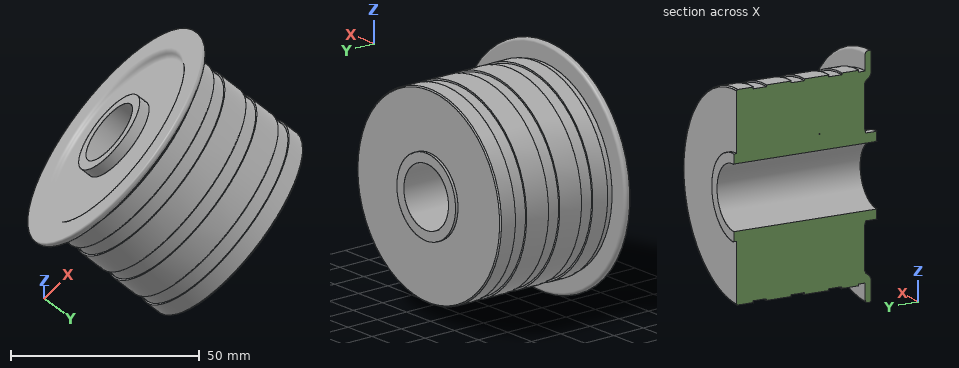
import cadquery as cq
import math

hub_length = 43.0
hub_radius = 12.25
bore_radius = 9.3

rim_back = 42.15
rim_radius = 29.95
rim_edge_chamfer = 0.35
groove_radius = 29.5
groove_width = 3.85
groove_starts = (10.6, 21.85, 33.2)
relief_end = 5.45

flange_radius = 35.0
flange_front = 1.7
flange_back = 3.6
front_edge_round = 0.55
back_edge_round = 0.9

web_front = 3.65
recess_outer_radius = 28.9
recess_middle_radius = 27.15
recess_inner_radius = 2 * recess_middle_radius - recess_outer_radius
collar_radius = 13.6
collar_height = 0.35


def blend_midpoint(start, end, radial_end):
    """Point halfway along an arc that leaves or reaches a radial tangent.

    With radial_end the arc is radial at its end, otherwise at its start.
    """
    run = end[0] - start[0]
    rise = end[1] - start[1]
    angle = 2 * math.atan(abs(rise / run))
    radius = abs(run) / math.sin(angle)
    half_run = math.copysign(radius * math.sin(angle / 2), run)
    half_rise = math.copysign(radius * (1 - math.cos(angle / 2)), rise)
    if radial_end:
        return (end[0] - half_run, end[1] - half_rise)
    return (start[0] + half_run, start[1] + half_rise)


def revolve_about_y(profile):
    return profile.close().revolve(360, (0, 0, 0), (0, 1, 0))


def make_body():
    web_edge = (recess_inner_radius, web_front)
    blend_join = (recess_middle_radius, (web_front + flange_front) / 2)
    flange_edge = (recess_outer_radius, flange_front)
    profile = (
        cq.Workplane("XY")
        .moveTo(bore_radius, 0)
        .lineTo(hub_radius, 0)
        .lineTo(hub_radius, web_front - collar_height)
        .lineTo(collar_radius, web_front)
        .lineTo(*web_edge)
        .threePointArc(blend_midpoint(web_edge, blend_join, False), blend_join)
        .threePointArc(blend_midpoint(blend_join, flange_edge, True), flange_edge)
        .lineTo(flange_radius - front_edge_round, flange_front)
        .radiusArc((flange_radius, flange_front + front_edge_round), -front_edge_round)
        .lineTo(flange_radius, flange_back - back_edge_round)
        .radiusArc((flange_radius - back_edge_round, flange_back), -back_edge_round)
        .lineTo(groove_radius, flange_back)
        .lineTo(groove_radius, relief_end)
        .lineTo(rim_radius, relief_end)
        .lineTo(rim_radius, rim_back - rim_edge_chamfer)
        .lineTo(rim_radius - rim_edge_chamfer, rim_back)
        .lineTo(hub_radius, rim_back)
        .lineTo(hub_radius, hub_length)
        .lineTo(bore_radius, hub_length)
    )
    return revolve_about_y(profile)


def make_groove(start):
    """Ring that cuts one groove into the rim."""
    profile = (
        cq.Workplane("XY")
        .moveTo(groove_radius, start)
        .lineTo(flange_radius, start)
        .lineTo(flange_radius, start + groove_width)
        .lineTo(groove_radius, start + groove_width)
    )
    return revolve_about_y(profile)


result = make_body()
for groove_start in groove_starts:
    result = result.cut(make_groove(groove_start))